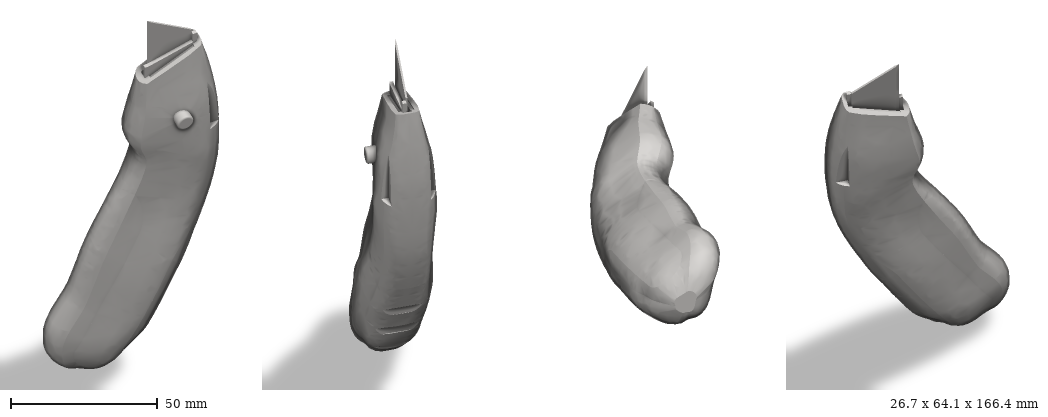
import cadquery as cq

TIP_Z = 166.4
BLADE_LENGTH = 59.9
BLADE_THICKNESS = 0.7
EDGE_Y = 6.7
BLADE_WIDTH = 16.6
POINT_DROP = 12.5
BEVEL_WIDTH = 1.3

SLOT_HALF_WIDTH = 1.7
SLOT_FLOOR_Z = 99.8
CARRIER_OVERHANG = 1.5
CARRIER_FRONT_Y = EDGE_Y - CARRIER_OVERHANG
CARRIER_BACK_Y = EDGE_Y + BLADE_WIDTH + CARRIER_OVERHANG
CARRIER_BACK_Z = 152.9
CARRIER_FRONT_Z = 144.4
CARRIER_TAB_HEIGHT = 4.2

MOUTH_FRONT_Y = 2.8
MOUTH_FRONT_Z = 137.7
MOUTH_BACK_Y = 26.1
MOUTH_BACK_Z = 149.2
RECESS_HALF_WIDTH = 2.8
RECESS_DEPTH = 0.7

BUTTON_DIAMETER = 6.0
BUTTON_Y = 15.5
BUTTON_Z = 121.5
BUTTON_END_X = 12.5
BUTTON_ROUND = 0.7

LEDGE_X = 7.0
LEDGE_Y = 26.1
LEDGE_BOTTOM_Z = 110.1
LEDGE_TOP_Z = 137.7

NOTCH_COUNT = 3
NOTCH_PITCH_Y = -7.8
NOTCH_PITCH_Z = -16.6

REACH = 199.6

FLANK_FRACTION = 0.35
FLANK_SPREAD = 0.55
WIDEST_FRACTION = 0.75
SHOULDER_FRACTION = 0.6
SHOULDER_DROP = 0.15

SECTIONS = [
    ((5.7, 151.7), (21.6, 166.4), 2.2, 2.3, 2.2, 2.0, 1.3),
    ((4.3, 145.0), (23.8, 158.0), 3.0, 3.3, 3.0, 2.0, 1.3),
    ((3.0, 137.7), (26.3, 149.2), 4.2, 4.7, 4.2, 2.2, 1.5),
    ((1.7, 130.6), (28.8, 138.5), 5.2, 6.8, 5.5, 2.3, 2.3),
    ((0.2, 123.1), (30.8, 126.5), 6.5, 9.1, 7.7, 2.7, 3.7),
    ((-1.8, 114.0), (31.8, 115.6), 7.0, 10.1, 8.5, 3.0, 4.0),
    ((-1.0, 108.1), (32.0, 108.1), 6.8, 10.5, 9.0, 2.5, 4.0),
    ((1.2, 102.3), (32.0, 101.5), 6.5, 10.8, 9.1, 2.2, 4.0),
    ((0.7, 96.5), (31.8, 94.8), 6.3, 10.5, 9.0, 2.2, 4.0),
    ((-2.3, 88.2), (30.8, 84.8), 6.2, 10.1, 8.7, 2.5, 4.2),
    ((-7.0, 79.2), (27.8, 71.9), 6.0, 10.5, 8.7, 3.5, 4.7),
    ((-11.5, 69.9), (23.1, 58.2), 6.2, 11.8, 9.3, 4.0, 5.0),
    ((-15.5, 60.9), (18.1, 45.7), 6.3, 13.0, 10.5, 4.0, 5.2),
    ((-18.3, 53.2), (14.5, 38.0), 6.3, 13.3, 10.6, 4.0, 5.2),
    ((-21.0, 44.9), (11.0, 30.0), 6.3, 13.3, 10.6, 4.0, 5.2),
    ((-24.3, 36.6), (7.3, 22.0), 6.3, 13.0, 10.5, 4.0, 5.2),
    ((-29.5, 27.8), (3.7, 15.0), 6.3, 12.3, 9.8, 4.0, 5.2),
    ((-31.8, 20.8), (0.3, 10.3), 6.2, 11.5, 8.3, 4.0, 5.0),
    ((-32.0, 15.0), (-2.3, 7.0), 5.8, 10.6, 7.5, 4.0, 4.3),
    ((-30.0, 9.0), (-5.7, 3.7), 5.3, 8.8, 6.0, 3.3, 3.7),
    ((-26.1, 4.3), (-9.3, 1.3), 3.8, 6.3, 4.3, 2.2, 2.3),
    ((-21.3, 1.2), (-12.5, 0.0), 2.2, 3.7, 2.2, 1.2, 1.2),
]


def section_wire(belly, spine, belly_half, middle_half, spine_half, belly_rise, spine_rise):
    """Closed outline: a round belly cap, bulging sides and a flattened spine cap."""
    belly_point = cq.Vector(0, *belly)
    across = cq.Vector(0, *spine) - belly_point
    depth = across.Length
    direction = across.normalized()

    def point(x, distance):
        return belly_point + direction * distance + cq.Vector(x, 0, 0)

    spine_edge = depth - spine_rise
    widest = belly_rise + WIDEST_FRACTION * (spine_edge - belly_rise)
    corners = [
        point(-belly_half, belly_rise),
        point(belly_half, belly_rise),
        point(spine_half, spine_edge),
        point(-spine_half, spine_edge),
    ]
    shoulder_x = SHOULDER_FRACTION * spine_half
    shoulder = depth - SHOULDER_DROP * spine_rise
    flank_x = belly_half + FLANK_SPREAD * (middle_half - belly_half)
    flank = belly_rise + FLANK_FRACTION * (spine_edge - belly_rise)
    spine_cap = cq.Edge.makeSpline(
        [
            corners[2],
            point(shoulder_x, shoulder),
            point(0, depth),
            point(-shoulder_x, shoulder),
            corners[3],
        ]
    )
    edges = [
        cq.Edge.makeThreePointArc(corners[0], point(0, 0), corners[1]),
        cq.Edge.makeSpline([corners[1], point(flank_x, flank), point(middle_half, widest), corners[2]]),
        spine_cap,
        cq.Edge.makeSpline([corners[3], point(-middle_half, widest), point(-flank_x, flank), corners[0]]),
    ]
    return cq.Wire.assembleEdges(edges)


def side_prism(outline, half_width=REACH):
    """Prism along X, centred on X = 0, from an outline drawn in Y and Z."""
    return outline.close().extrude(half_width, both=True)


def mouth_cutter(depth, front_y, back_y, half_width):
    """Everything above the sloping mouth plane, sunk below it by depth, within the given limits."""
    slope = (MOUTH_BACK_Z - MOUTH_FRONT_Z) / (MOUTH_BACK_Y - MOUTH_FRONT_Y)
    front_z = MOUTH_FRONT_Z + (front_y - MOUTH_FRONT_Y) * slope - depth
    back_z = MOUTH_FRONT_Z + (back_y - MOUTH_FRONT_Y) * slope - depth
    outline = cq.Workplane("YZ").polyline(
        [(front_y, front_z), (back_y, back_z), (back_y, REACH), (front_y, REACH)]
    )
    return side_prism(outline, half_width)


def knife_form():
    """Solid outer form of housing and grip together."""
    wires = [section_wire(*section) for section in SECTIONS]
    form = cq.Workplane(cq.Solid.makeLoft(wires))
    return form.cut(mouth_cutter(0, -REACH, REACH, REACH))


def housing_region():
    """Prism over the nose and the tongue that runs down the middle of the grip."""
    outline = (
        cq.Workplane("YZ")
        .moveTo(-REACH, 87.8)
        .lineTo(-2.3, 87.8)
        .threePointArc((1.7, 76.5), (-0.5, 66.5))
        .lineTo(-24.0, 16.6)
        .threePointArc((-23.0, 9.3), (-17.1, 5.7))
        .threePointArc((-12.6, 6.7), (-9.6, 10.0))
        .lineTo(10.1, 52.4)
        .threePointArc((13.6, 57.0), (18.6, 61.4))
        .lineTo(22.6, 63.7)
        .lineTo(REACH, 63.7)
        .lineTo(REACH, REACH)
        .lineTo(-REACH, REACH)
    )
    return side_prism(outline)


def make_grip(form, region):
    grip = form.cut(region)
    notch = side_prism(
        cq.Workplane("YZ").polyline([(20.0, 49.9), (17.6, 47.4), (17.1, 43.9), (25.0, 47.4)])
    )
    for index in range(NOTCH_COUNT):
        grip = grip.cut(notch.translate((0, index * NOTCH_PITCH_Y, index * NOTCH_PITCH_Z)))
    return grip


def make_housing_half(form, region, side):
    """Half of the housing on one side of X = 0; side is +1 or -1."""
    half_space = cq.Workplane().box(REACH, 2 * REACH, 2 * REACH).translate((side * REACH / 2, 0, 0))
    half = form.intersect(region).intersect(half_space)

    slot_depth = CARRIER_BACK_Y - CARRIER_FRONT_Y
    slot = cq.Workplane().box(2 * SLOT_HALF_WIDTH, slot_depth, REACH, centered=(True, False, False))
    slot = slot.translate((0, CARRIER_FRONT_Y, SLOT_FLOOR_Z))
    recess = mouth_cutter(RECESS_DEPTH, EDGE_Y, EDGE_Y + BLADE_WIDTH, RECESS_HALF_WIDTH)

    ledge = cq.Workplane().box(REACH, REACH, LEDGE_TOP_Z - LEDGE_BOTTOM_Z, centered=(True, False, False))
    ledge = ledge.translate((side * (LEDGE_X + REACH / 2), LEDGE_Y, LEDGE_BOTTOM_Z))
    return half.cut(slot).cut(recess).cut(ledge)


def make_blade():
    back_y = EDGE_Y + BLADE_WIDTH
    bottom_z = TIP_Z - BLADE_LENGTH
    outline = cq.Workplane("YZ").polyline(
        [
            (EDGE_Y, TIP_Z),
            (back_y, TIP_Z - POINT_DROP),
            (back_y, bottom_z + POINT_DROP),
            (EDGE_Y, bottom_z),
        ]
    )
    half = BLADE_THICKNESS / 2
    ground_profile = (
        cq.Workplane("XY")
        .polyline(
            [
                (0, EDGE_Y),
                (half, EDGE_Y + BEVEL_WIDTH),
                (half, back_y),
                (-half, back_y),
                (-half, EDGE_Y + BEVEL_WIDTH),
            ]
        )
        .close()
        .extrude(REACH)
    )
    return side_prism(outline).intersect(ground_profile)


def make_carrier():
    back_y = EDGE_Y + BLADE_WIDTH
    return (
        cq.Workplane("YZ", origin=(BLADE_THICKNESS / 2, 0, 0))
        .polyline(
            [
                (CARRIER_FRONT_Y, SLOT_FLOOR_Z),
                (CARRIER_BACK_Y, SLOT_FLOOR_Z),
                (CARRIER_BACK_Y, CARRIER_BACK_Z),
                (back_y, CARRIER_BACK_Z),
                (back_y, CARRIER_BACK_Z - CARRIER_TAB_HEIGHT),
                (EDGE_Y, CARRIER_FRONT_Z),
                (CARRIER_FRONT_Y, CARRIER_FRONT_Z),
            ]
        )
        .close()
        .extrude(SLOT_HALF_WIDTH - BLADE_THICKNESS / 2)
    )


def make_button():
    """Cylinder along X that stands on the carrier and sticks out of the +X side."""
    return (
        cq.Workplane("YZ", origin=(SLOT_HALF_WIDTH, BUTTON_Y, BUTTON_Z))
        .circle(BUTTON_DIAMETER / 2)
        .extrude(BUTTON_END_X - SLOT_HALF_WIDTH)
        .faces(">X")
        .edges()
        .fillet(BUTTON_ROUND)
    )


outer_form = knife_form()
split_region = housing_region()

blade = make_blade()
carrier = make_carrier()
button = make_button()
grip = make_grip(outer_form, split_region)
left_housing = make_housing_half(outer_form, split_region, -1)
right_housing = make_housing_half(outer_form, split_region, 1).cut(button)

result = cq.Compound.makeCompound(
    [
        left_housing.val(),
        right_housing.val(),
        grip.val(),
        blade.val(),
        carrier.val(),
        button.val(),
    ]
)